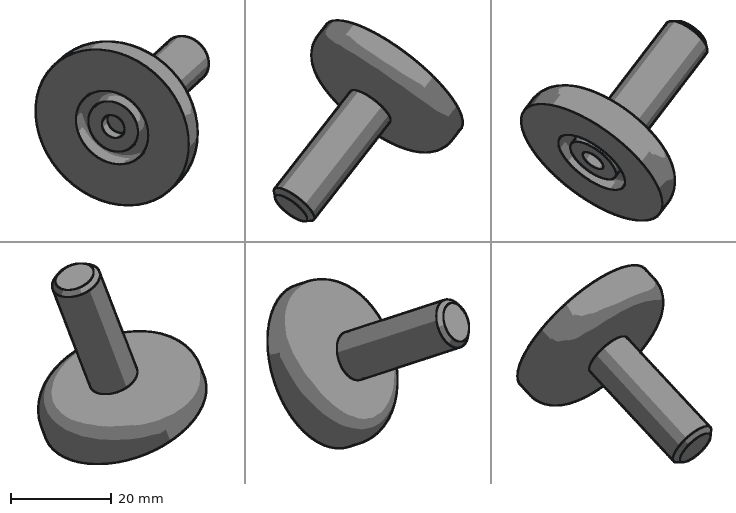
import cadquery as cq


total_length = 35.0
pad_height = 8.0
pad_diameter = 34.0
pad_radius = pad_diameter / 2
pad_edge_radius = 5.0

groove_outer_radius = 8.0
boss_radius = 5.5
groove_depth = 3.0
groove_fillet = 1.0
boss_setback = 0.5

stud_radius = 5.0
stud_chamfer = 1.0
access_hole_radius = 2.5
stud_start = groove_depth


def disc(radius, start, end):
    """Cylinder on the Y axis running from Y = start to Y = end."""
    return cq.Workplane("XZ", origin=(0, start, 0)).circle(radius).extrude(start - end)


def make_pad():
    """Round foot pad with a rounded upper rim, a ring groove and a stepped stud socket."""
    pad = disc(pad_radius, 0, pad_height).faces(">Y").edges().fillet(pad_edge_radius)
    groove = disc(groove_outer_radius, 0, groove_depth).cut(disc(boss_radius, boss_setback, groove_depth))
    groove = groove.faces(">Y").edges().fillet(groove_fillet)
    access_hole = disc(access_hole_radius, 0, stud_start)
    stud_socket = disc(stud_radius, stud_start, pad_height)
    return pad.cut(groove).cut(access_hole).cut(stud_socket)


def make_stud():
    """Plain round stud with a chamfered free end."""
    return disc(stud_radius, stud_start, total_length).faces(">Y").edges().chamfer(stud_chamfer)


pad = make_pad()
stud = make_stud()

result = cq.Compound.makeCompound([pad.val(), stud.val()])